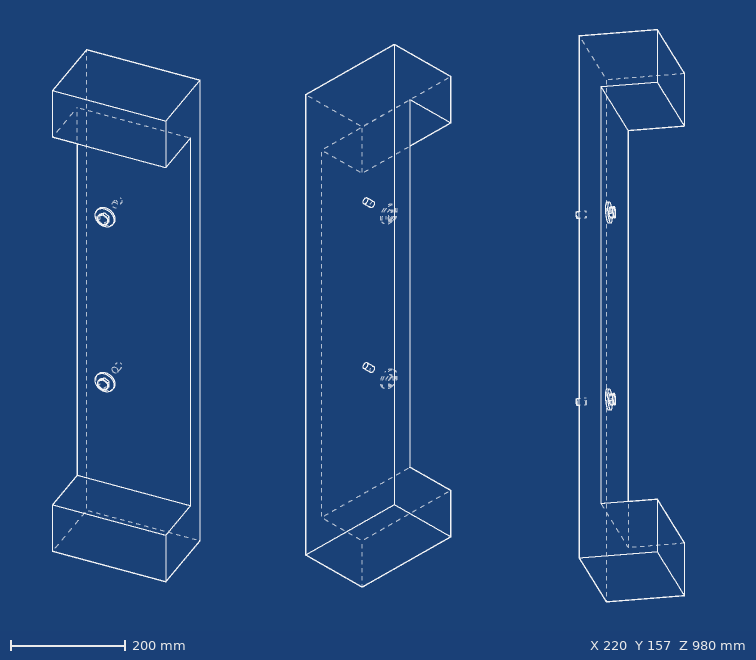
import cadquery as cq

width = 220.0
height = 980.0
body_depth = 140.0
plate_thickness = 39.0
block_height = 99.0

bolt_x = width / 4
bolt_spacing = 351.0
bolt_centre_z = height / 2
shank_diameter = 12.0
shank_projection = 17.0
washer_diameter = 37.0
washer_thickness = 4.0
head_diameter = 21.0
hex_corner_turn = 30
head_projection = 12.0
end_disc_thickness = 1.0

plate_front = body_depth - plate_thickness


def rod(diameter, start_y, end_y, z):
    """Cylinder along Y on the bolt line."""
    return (
        cq.Workplane("XZ", origin=(bolt_x, start_y, z))
        .circle(diameter / 2)
        .extrude(start_y - end_y)
    )


def bolt(z):
    """Hexagonal head with a round end disc, washer, and shank through the plate."""
    washer_front = plate_front - washer_thickness
    head_front = plate_front - head_projection
    disc_back = head_front + end_disc_thickness
    shank = rod(shank_diameter, washer_front, body_depth + shank_projection, z)
    washer = rod(washer_diameter, washer_front, plate_front, z)
    head = (
        cq.Workplane("XZ", origin=(bolt_x, washer_front, z))
        .transformed(rotate=(0, 0, hex_corner_turn))
        .polygon(6, head_diameter)
        .extrude(washer_front - disc_back)
    )
    end_disc = rod(head_diameter, head_front, disc_back, z)
    return shank.union(washer).union(head).union(end_disc)


body = cq.Workplane("XY").box(width, body_depth, height, centered=False)
recess = cq.Workplane("XY", origin=(0, 0, block_height)).box(
    width, plate_front, height - 2 * block_height, centered=False
)
result = body.cut(recess)

for side in (-1, 1):
    result = result.union(bolt(bolt_centre_z + side * bolt_spacing / 2))